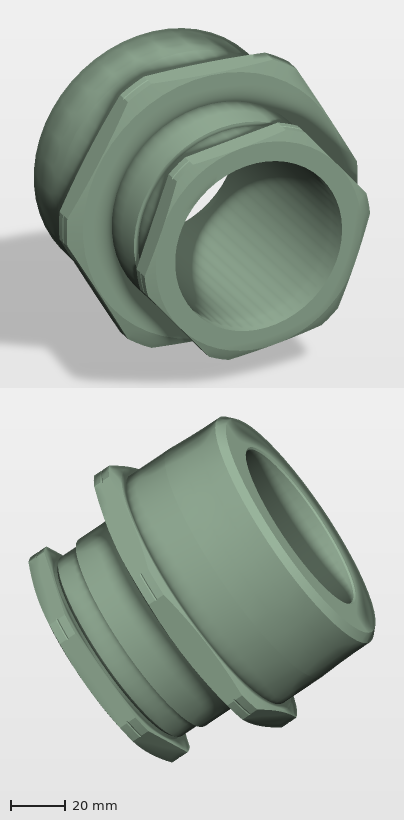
import math

import cadquery as cq


entry_radius = 50.8
taper_length = 25.4
taper_slope = 1 / 32
lead_chamfer = 2.8

body_radius = 41.75
neck_radius = 40.0
gap_root_radius = 38.6
nut_collar_radius = 39.7

bore_radius = 34.1
bore_chamfer = 0.6

hex_corner_ratio = 1.1
hex_chamfer_angle = 15.0
groove_width = 0.8
groove_depth = 0.3

flange_flats = 108.0
flange_thickness = 10.0
flange_face_radius = 53.5
flange_turn = 0.0

nut_flats = 84.0
nut_thickness = 8.2
nut_face_radius = 42.0
nut_turn = 10.0

total_length = 92.1
flange_start = 43.1
flange_end = flange_start + flange_thickness
body_end = 72.5
nut_start = total_length - nut_thickness
neck_end = 81.9
gap_root = 83.15


def revolve_about_x(profile):
    """Turn a closed profile, drawn as (x, radius), about the X axis."""
    return profile.close().revolve(360, (0, 0, 0), (1, 0, 0))


def turned_body():
    """Solid core: tapered entry, body collar, neck and the V-shaped gap at the nut."""
    lead_radius = entry_radius - taper_slope * (taper_length - lead_chamfer)
    profile = (
        cq.Workplane("XY")
        .moveTo(0, 0)
        .lineTo(0, lead_radius - lead_chamfer)
        .lineTo(lead_chamfer, lead_radius)
        .lineTo(taper_length, entry_radius)
        .lineTo(flange_end, entry_radius)
        .lineTo(flange_end, body_radius)
        .lineTo(body_end, body_radius)
        .lineTo(body_end, neck_radius)
        .lineTo(neck_end, neck_radius)
        .lineTo(gap_root, gap_root_radius)
        .lineTo(nut_start, nut_collar_radius)
        .lineTo(total_length, nut_collar_radius)
        .lineTo(total_length, 0)
    )
    return revolve_about_x(profile)


def hexagon(start, thickness, flats, face_radius, turn, chamfer_start_face):
    """Hexagon with rounded, grooved corners and conically chamfered faces.

    At zero turn two corners lie on the Y axis. A positive turn moves the
    corner on -Y towards -Z.
    """
    end = start + thickness
    corner_radius = hex_corner_ratio * flats / 2
    chamfer_length = (corner_radius - face_radius) * math.tan(math.radians(hex_chamfer_angle))
    land_start = start + chamfer_length if chamfer_start_face else start
    land_end = end - chamfer_length
    groove_middle = (land_start + land_end) / 2

    envelope = cq.Workplane("XY").moveTo(start, 0)
    if chamfer_start_face:
        envelope = envelope.lineTo(start, face_radius)
    envelope = (
        envelope.lineTo(land_start, corner_radius)
        .lineTo(groove_middle - groove_width / 2, corner_radius)
        .lineTo(groove_middle, corner_radius - groove_depth)
        .lineTo(groove_middle + groove_width / 2, corner_radius)
        .lineTo(land_end, corner_radius)
        .lineTo(end, face_radius)
        .lineTo(end, 0)
    )

    across_corners = flats / math.cos(math.pi / 6)
    prism = (
        cq.Workplane("YZ")
        .workplane(offset=start)
        .polygon(6, across_corners)
        .extrude(thickness)
        .rotate((0, 0, 0), (1, 0, 0), turn)
    )
    return prism.intersect(revolve_about_x(envelope))


def bore():
    """Through bore with a chamfer at the entry end."""
    profile = (
        cq.Workplane("XY")
        .moveTo(0, 0)
        .lineTo(0, bore_radius + bore_chamfer)
        .lineTo(bore_chamfer, bore_radius)
        .lineTo(total_length, bore_radius)
        .lineTo(total_length, 0)
    )
    return revolve_about_x(profile)


flange = hexagon(flange_start, flange_thickness, flange_flats, flange_face_radius, flange_turn, True)
nut = hexagon(nut_start, nut_thickness, nut_flats, nut_face_radius, nut_turn, False)

result = turned_body().union(flange).union(nut).cut(bore())